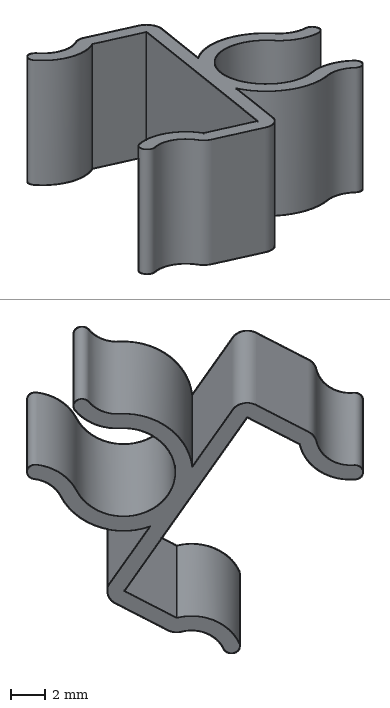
import cadquery as cq
import math

height = 8.0
wall = 1.0
outer_width = 15.8
bar_top = -3.22
ring_center = (0, 0)
ring_inner = 3.0
ring_outer = ring_inner + wall

lip_inner = 2 * wall
lip_outer = lip_inner + wall
lip_middle = (lip_inner + lip_outer) / 2
ring_top = 4.89
ring_lip_gap = 3.85
leg_lip_gap = 11.84
total_length = 16.86
join_tolerance = 0.0002
leg_tip_angle = -37

leg_bottom = ring_top - total_length
outer_x = -outer_width / 2
inner_x = outer_x + wall
bar_bottom = bar_top - wall

ring_lip_x = -ring_lip_gap / 2 - lip_outer
ring_lip_distance = ring_outer + lip_inner
ring_lip_y = math.sqrt(ring_lip_distance**2 - ring_lip_x**2)
ring_joint_angle = math.degrees(math.atan2(ring_lip_y, ring_lip_x))
ring_root_angle = 180 - math.degrees(math.asin(bar_top / ring_outer))
ring_tip_y = ring_top - wall / 2
ring_tip_angle = math.degrees(math.asin((ring_tip_y - ring_lip_y) / lip_middle))

leg_lip_x = -leg_lip_gap / 2 - lip_outer
leg_tip_y = leg_bottom + wall / 2
leg_lip_y = leg_tip_y - lip_middle * math.sin(math.radians(leg_tip_angle))
leg_joint_angle = math.degrees(math.acos((inner_x - leg_lip_x) / lip_outer))
leg_end_y = leg_lip_y + lip_outer * math.sin(math.radians(leg_joint_angle))


def polar(center, radius, angle):
    """Point at an angle in degrees on a circle."""
    a = math.radians(angle)
    return (center[0] + radius * math.cos(a), center[1] + radius * math.sin(a))


def arc(center, radius, start, end):
    """Start, middle and end points of an arc between two angles."""
    return [polar(center, radius, angle) for angle in (start, (start + end) / 2, end)]


def leg_arcs():
    """Arcs of the leg from its inside face, around the lip, to the top bend."""
    top_corner = (inner_x, bar_bottom)
    lower_corner = (inner_x, leg_end_y)
    lip_center = (leg_lip_x, leg_lip_y)
    tip_center = polar(lip_center, lip_middle, leg_tip_angle)
    return [
        arc(lip_center, lip_outer, leg_joint_angle, leg_tip_angle),
        arc(tip_center, wall / 2, leg_tip_angle, leg_tip_angle - 180),
        arc(lip_center, lip_inner, leg_tip_angle, leg_joint_angle),
        arc(lower_corner, wall, 180 + leg_joint_angle, 180),
        arc(top_corner, wall, 180, 90),
    ]


def ring_arcs():
    """Arcs from the ring root, around the upper lip, to the edge of the bore."""
    lip_center = (ring_lip_x, ring_lip_y)
    lip_joint_angle = ring_joint_angle - 180
    tip_center = polar(lip_center, lip_middle, ring_tip_angle)
    return [
        arc(ring_center, ring_outer, ring_root_angle, ring_joint_angle),
        arc(lip_center, lip_inner, lip_joint_angle, ring_tip_angle),
        arc(tip_center, wall / 2, ring_tip_angle + 180, ring_tip_angle),
        arc(lip_center, lip_outer, ring_tip_angle, lip_joint_angle),
    ]


def mirrored(arcs):
    """The same arcs on the other side of the YZ plane, followed backwards."""
    return [[(-x, y) for x, y in reversed(points)] for points in reversed(arcs)]


def clip_outline():
    """Closed profile: left half, bore, right half, then the bar's underside."""
    left_arcs = leg_arcs() + ring_arcs()
    bore_end_angle = 360 + (180 - ring_joint_angle)
    bore = arc(ring_center, ring_inner, ring_joint_angle, bore_end_angle)
    outline = cq.Workplane("XY").moveTo(inner_x, bar_bottom)
    position = (inner_x, bar_bottom)
    for start, middle, end in left_arcs + [bore] + mirrored(left_arcs):
        if math.dist(position, start) > join_tolerance:
            outline = outline.lineTo(*start)
        outline = outline.threePointArc(middle, end)
        position = end
    return outline.lineTo(-inner_x, bar_bottom).close()


result = clip_outline().extrude(height)